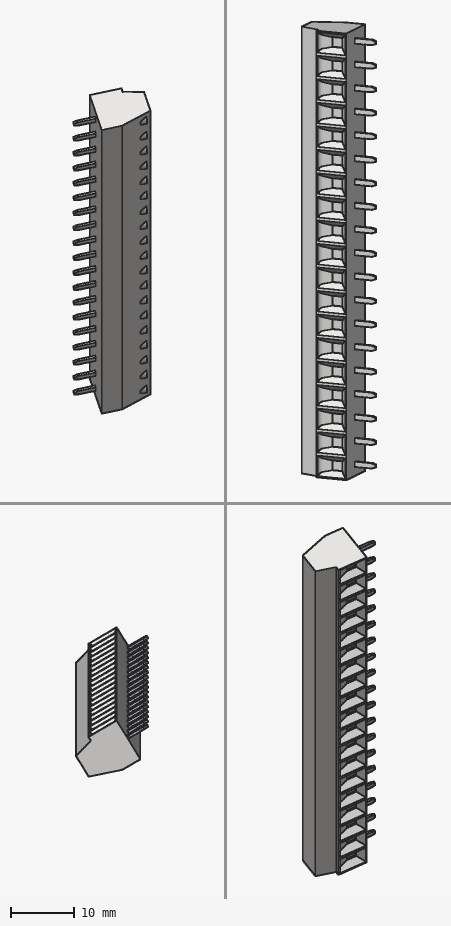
import cadquery as cq


pole_count = 19
length = 72.4
pitch = length / pole_count
width = 7.3
height = 8.5
left = -width / 2
right = width / 2
shoulder_height = 5.2
shoulder_depth = 0.7
top_left = -2.0
top_right = 1.9
slope_start_height = 3.3

funnel_depth = 1.15
mouth_low = 0.15
mouth_high = 4.9
mouth_span = 3.3
recess_low = 1.2
recess_high = 3.0
recess_span = 1.6
recess_depth = 0.3
ledge_high = 4.3
ledge_depth = 0.8
round_radius = 0.8

screw_radius = 1.2
screw_edge = 2.5
screw_top = 7.75
screw_length = 2.9

pin_x = -0.15
pin_thickness = 0.4
pin_span = 0.9
pin_length = 3.55
pin_root = 0.7
tip_length = 0.65
tip_span = 0.4


def make_housing():
    """Constant section in XY, extruded over the whole row of poles."""
    outline = [
        (left, 0),
        (right, 0),
        (right, slope_start_height),
        (top_right, height),
        (top_left, height),
        (left + shoulder_depth, shoulder_height),
        (left, shoulder_height),
    ]
    return cq.Workplane("XY").polyline(outline).close().extrude(length / 2, both=True)


def make_wire_entry():
    """Funnel and recess of one pole, centred on Z = 0."""
    floor = left + funnel_depth
    section = (
        cq.Workplane("XY")
        .moveTo(left, mouth_low)
        .lineTo(floor, recess_low)
        .lineTo(floor, recess_high)
        .lineTo(left + ledge_depth, ledge_high)
        .radiusArc((left, mouth_high), -round_radius)
        .close()
    )
    funnel = section.extrude(mouth_span / 2, both=True)
    end_walls = [
        (left, -mouth_span / 2),
        (floor, -recess_span / 2),
        (floor, recess_span / 2),
        (left, mouth_span / 2),
    ]
    wedge = cq.Workplane("XZ").polyline(end_walls).close().extrude(-height)
    recess = cq.Workplane("XY").box(
        recess_depth, recess_high - recess_low, recess_span, centered=(False, False, True)
    )
    return funnel.intersect(wedge).union(recess.translate((floor, recess_low, 0)))


def make_screw():
    """Clamp screw along Y; its rim stands out of the sloped side."""
    screw = cq.Workplane("XZ").circle(screw_radius).extrude(screw_length)
    return screw.translate((screw_edge - screw_radius, screw_top, 0))


def make_pin():
    """Flat solder pin of one pole, tapered in Z at its tip."""
    outline = [
        (pin_root, -pin_span / 2),
        (tip_length - pin_length, -pin_span / 2),
        (-pin_length, -tip_span / 2),
        (-pin_length, tip_span / 2),
        (tip_length - pin_length, pin_span / 2),
        (pin_root, pin_span / 2),
    ]
    pin = cq.Workplane("YZ").polyline(outline).close().extrude(pin_thickness / 2, both=True)
    return pin.translate((pin_x, 0, 0))


def one_per_pole(shape):
    """Copies of a shape at the middle of every pole."""
    copies = cq.Workplane("XY")
    for pole in range(pole_count):
        pole_z = (pole + 0.5) * pitch - length / 2
        copies = copies.add(shape.translate((0, 0, pole_z)))
    return copies.combine()


result = (
    make_housing()
    .union(one_per_pole(make_screw()))
    .union(one_per_pole(make_pin()))
    .cut(one_per_pole(make_wire_entry()))
)